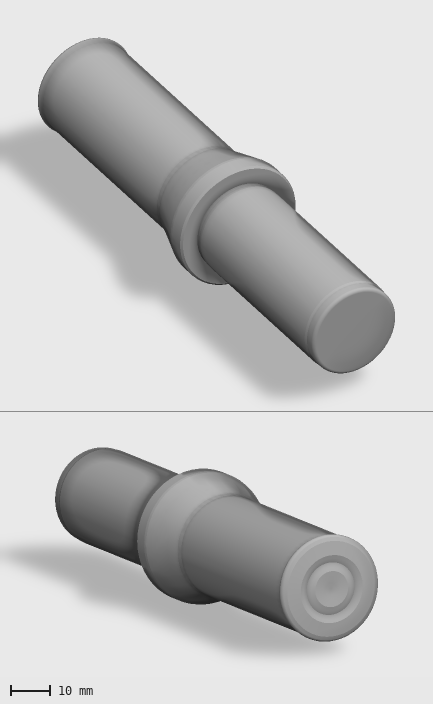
import cadquery as cq

length = 132.0

barrel_radius = 26.5 / 2
collar_radius = 34.0 / 2
flare_start = 59.0
flare_end = 71.1
collar_end = 76.0
collar_chamfer = 0.5
flare_start_fillet = 5.3
flare_end_fillet = 3.0

bead_radius = 13.7
bead_crest = 1.7
bead_end = 3.0
face_edge_radius = 12.3
face_edge_setback = 0.4
bead_front_radius = 13.2
bead_front = 0.8
bead_shoulder_radius = 13.6
bead_shoulder = 1.2

groove_outer_radius = 8.7
groove_bottom_radius = 6.7
groove_inner_radius = 4.6
groove_depth = 0.7
dimple_depth = 0.5

spigot_radius = 25.0 / 2
relief_radius = 24.5 / 2
neck_length = 0.9
neck_taper_length = 1.2
tip_length = 3.0
tip_taper_length = 0.8
tip_fillet = 0.9


def turn(outline):
    """Revolve a closed (x, radius) outline about the X axis."""
    return outline.revolve(360, (0, 0, 0), (1, 0, 0))


def round_rim(body, x, radius, fillet_radius):
    """Fillet the circular edge of the given radius at position x."""
    reach = radius + 0.1
    half_width = 0.07
    box = cq.selectors.BoxSelector(
        (x - half_width, -reach, -reach), (x + half_width, reach, reach), boundingbox=True
    )
    return body.edges(box).fillet(fillet_radius)


def make_sleeve():
    outline = (
        cq.Workplane("XY")
        .moveTo(collar_end, 0)
        .lineTo(collar_end, collar_radius - collar_chamfer)
        .lineTo(collar_end - collar_chamfer, collar_radius)
        .lineTo(flare_end, collar_radius)
        .lineTo(flare_start, barrel_radius)
        .lineTo(bead_end, barrel_radius)
        .tangentArcPoint((bead_crest, bead_radius), relative=False)
        .threePointArc((bead_shoulder, bead_shoulder_radius), (bead_front, bead_front_radius))
        .lineTo(face_edge_setback, face_edge_radius)
        .lineTo(0, groove_outer_radius)
        .lineTo(groove_depth, groove_bottom_radius)
        .lineTo(0, groove_inner_radius)
        .lineTo(dimple_depth, 0)
        .close()
    )
    sleeve = turn(outline)
    sleeve = round_rim(sleeve, flare_start, barrel_radius, flare_start_fillet)
    return round_rim(sleeve, flare_end, collar_radius, flare_end_fillet)


def make_spigot():
    neck_end = collar_end + neck_length
    tip_start = length - tip_length
    outline = (
        cq.Workplane("XY")
        .moveTo(collar_end, 0)
        .lineTo(collar_end, relief_radius)
        .lineTo(neck_end, relief_radius)
        .lineTo(neck_end + neck_taper_length, spigot_radius)
        .lineTo(tip_start - tip_taper_length, spigot_radius)
        .lineTo(tip_start, relief_radius)
        .lineTo(length, relief_radius)
        .lineTo(length, 0)
        .close()
    )
    return round_rim(turn(outline), length, relief_radius, tip_fillet)


sleeve = make_sleeve()
spigot = make_spigot()

result = cq.Compound.makeCompound([sleeve.val(), spigot.val()])